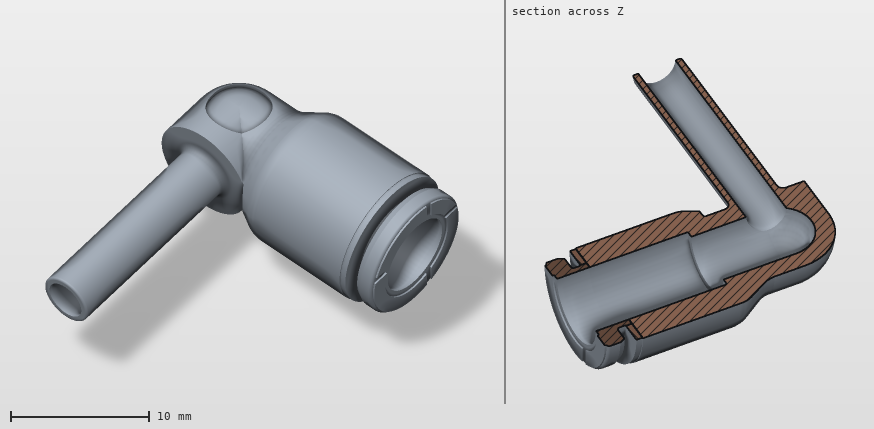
import cadquery as cq
import math

elbow_radius = 3.97
elbow_face_y = -elbow_radius
passage_radius = 2.5

stem_radius = 2.0
stem_bore_radius = 1.5
stem_end_y = -19.445
stem_root_fillet = 0.5
stem_end_fillet = 0.17

barrel_radius = 5.325
barrel_end_x = 13.97
flare_start_x = 2.55
flare_angle = math.radians(30)
flare_arc_radius = 2.0
tube_radius = 3.05

panel_radius = 2.42
panel_depth = 0.3

relief_radius = 4.2
relief_fillet = 0.2
relief_depth = 2.0

ring_radius = 5.25
ring_end_x = 14.45

sleeve_neck_radius = 3.54
sleeve_neck_fillet = 0.2
flange_radius = 4.95
flange_back_x = 15.13
flange_back_chamfer_length = 0.47
flange_back_chamfer_height = 0.22
flange_face_x = 16.61
flange_front_fillet = 0.2

band_outer_radius = 4.73
band_inner_radius = 3.5
band_end_x = 16.75
gap_width = 0.52
gap_offset = 1.42


def cylinder_x(radius, start_x, end_x):
    """Cylinder on the X axis."""
    return cq.Workplane("YZ", origin=(start_x, 0, 0)).circle(radius).extrude(end_x - start_x)


def cylinder_y(radius, start_y, end_y):
    """Cylinder on the Y axis, running from start_y down to end_y."""
    return cq.Workplane("XZ", origin=(0, start_y, 0)).circle(radius).extrude(start_y - end_y)


def elbow(radius, end_x, end_y):
    """Two round legs of one radius with a ball at the corner."""
    legs = cylinder_x(radius, 0, end_x).union(cylinder_y(radius, 0, end_y))
    return legs.union(cq.Workplane("XY").sphere(radius))


def make_barrel():
    """Neck, flare and barrel turned about the X axis."""
    arc_length = flare_arc_radius * math.sin(flare_angle)
    arc_rise = flare_arc_radius * (1 - math.cos(flare_angle))
    half_length = flare_arc_radius * math.sin(flare_angle / 2)
    half_rise = flare_arc_radius * (1 - math.cos(flare_angle / 2))
    cone_rise = barrel_radius - elbow_radius - 2 * arc_rise
    cone_start_x = flare_start_x + arc_length
    cone_end_x = cone_start_x + cone_rise / math.tan(flare_angle)
    barrel_start_x = cone_end_x + arc_length
    profile = (
        cq.Workplane("XY")
        .lineTo(0, elbow_radius)
        .lineTo(flare_start_x, elbow_radius)
        .threePointArc(
            (flare_start_x + half_length, elbow_radius + half_rise),
            (cone_start_x, elbow_radius + arc_rise),
        )
        .lineTo(cone_end_x, barrel_radius - arc_rise)
        .threePointArc(
            (barrel_start_x - half_length, barrel_radius - half_rise),
            (barrel_start_x, barrel_radius),
        )
        .lineTo(barrel_end_x, barrel_radius)
        .lineTo(barrel_end_x, 0)
        .close()
    )
    barrel = profile.revolve(360, (0, 0, 0), (1, 0, 0))
    tube_socket = cylinder_x(tube_radius, barrel_start_x, barrel_end_x)
    return barrel.cut(tube_socket)


def make_stem():
    """Round stem, starting inside the elbow, with a concave fillet at the elbow face."""
    root_y = elbow_face_y - stem_root_fillet
    root_radius = stem_radius + stem_root_fillet
    diagonal = stem_root_fillet * math.sqrt(0.5)
    root = (
        cq.Workplane("XY")
        .moveTo(0, elbow_face_y)
        .lineTo(root_radius, elbow_face_y)
        .threePointArc((root_radius - diagonal, root_y + diagonal), (stem_radius, root_y))
        .lineTo(0, root_y)
        .close()
        .revolve(360, (0, 0, 0), (0, 1, 0))
    )
    shank = cylinder_y(stem_radius, 0, stem_end_y).faces("<Y").edges().fillet(stem_end_fillet)
    return shank.union(root)


def make_relief():
    """Round clearance in the flare, level with the stem face."""
    relief = cylinder_y(relief_radius, elbow_face_y, elbow_face_y - relief_depth)
    return relief.faces(">Y").edges().fillet(relief_fillet)


def make_panel():
    """Material removed above the panel floor."""
    column = cq.Workplane("XY").circle(panel_radius).extrude(barrel_radius)
    floor = elbow(elbow_radius - panel_depth, elbow_radius, -elbow_radius)
    return column.cut(floor)


def make_passage():
    """Flow passage: a ball-ended bore along X, met by the narrower bore of the stem."""
    port_bore = cylinder_x(passage_radius, 0, barrel_end_x)
    stem_bore = cylinder_y(stem_bore_radius, 0, stem_end_y)
    corner = cq.Workplane("XY").sphere(passage_radius)
    return port_bore.union(corner).union(stem_bore)


def make_housing():
    body = elbow(elbow_radius, flare_start_x, elbow_face_y)
    body = body.union(make_barrel())
    body = body.cut(make_relief()).union(make_stem())
    body = body.cut(make_passage())
    return body.cut(make_panel())


def make_end_ring():
    ring = cylinder_x(ring_radius, barrel_end_x, ring_end_x)
    return ring.cut(cylinder_x(sleeve_neck_radius, barrel_end_x, ring_end_x))


def make_face_band():
    """Raised band, crossed by one gap along Z and one along Y."""
    band = cylinder_x(band_outer_radius, flange_face_x, band_end_x)
    band = band.cut(cylinder_x(band_inner_radius, flange_face_x, band_end_x))
    span = 2 * band_outer_radius
    height = band_end_x - flange_face_x
    plane = cq.Workplane("YZ", origin=(flange_face_x, 0, 0))
    gap_along_z = plane.center(gap_offset, 0).rect(gap_width, span).extrude(height)
    gap_along_y = plane.center(0, gap_offset).rect(span, gap_width).extrude(height)
    return band.cut(gap_along_z).cut(gap_along_y)


def make_release_sleeve():
    diagonal = sleeve_neck_fillet * math.sqrt(0.5)
    neck_end_x = flange_back_x - sleeve_neck_fillet
    neck_top = sleeve_neck_radius + sleeve_neck_fillet
    sleeve = (
        cq.Workplane("XY")
        .moveTo(barrel_end_x, tube_radius)
        .lineTo(barrel_end_x, sleeve_neck_radius)
        .lineTo(neck_end_x, sleeve_neck_radius)
        .threePointArc((neck_end_x + diagonal, neck_top - diagonal), (flange_back_x, neck_top))
        .lineTo(flange_back_x, flange_radius - flange_back_chamfer_height)
        .lineTo(flange_back_x + flange_back_chamfer_length, flange_radius)
        .lineTo(flange_face_x, flange_radius)
        .lineTo(flange_face_x, tube_radius)
        .close()
        .revolve(360, (0, 0, 0), (1, 0, 0))
    )
    rim = cq.selectors.RadiusNthSelector(-1)
    sleeve = sleeve.faces(">X").edges(rim).fillet(flange_front_fillet)
    return sleeve.union(make_face_band())


housing = make_housing()
end_ring = make_end_ring()
release_sleeve = make_release_sleeve()

result = cq.Compound.makeCompound([housing.val(), end_ring.val(), release_sleeve.val()])